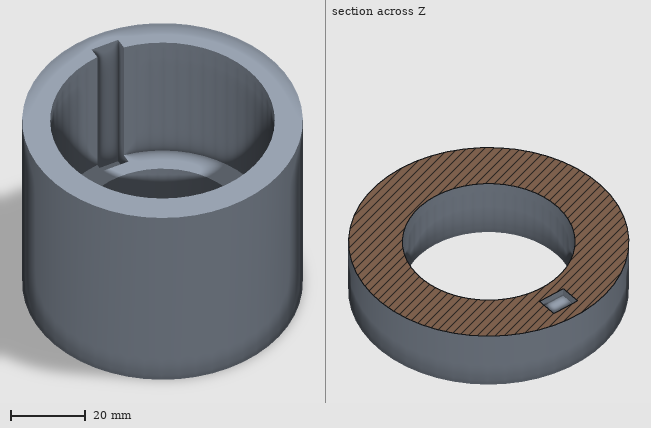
import cadquery as cq

outer_diameter = 75.0
height = 60.0
bore_diameter = 60.0
ledge_diameter = 46.0
bore_depth = 40.0

key_width = 8.0
key_outer_reach = 33.0
key_inner_reach = 27.0
key_depth_below_ledge = 5.0


def sleeve():
    body = cq.Workplane("XY").circle(outer_diameter / 2).extrude(height)
    through_hole = cq.Workplane("XY").circle(ledge_diameter / 2).extrude(height)
    bore = (
        cq.Workplane("XY")
        .workplane(offset=height - bore_depth)
        .circle(bore_diameter / 2)
        .extrude(bore_depth)
    )
    return body.cut(through_hole).cut(bore)


def keyway():
    depth = bore_depth + key_depth_below_ledge
    radial_length = key_outer_reach - key_inner_reach
    centre_x = -(key_outer_reach + key_inner_reach) / 2
    return (
        cq.Workplane("XY")
        .workplane(offset=height - depth)
        .center(centre_x, 0)
        .rect(radial_length, key_width)
        .extrude(depth)
    )


result = sleeve().cut(keyway())